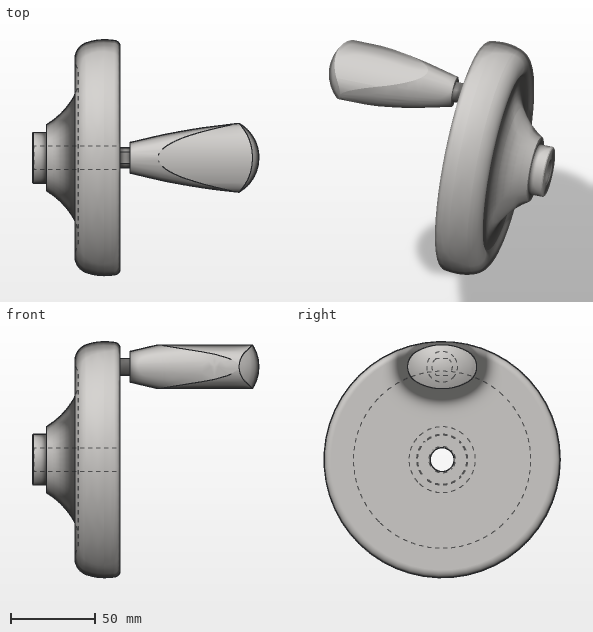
import cadquery as cq
import math


BORE_RADIUS = 7.0
BOSS_RADIUS = 15.1
BOSS_LENGTH = 8.3
BOSS_CHAMFER = 0.5
BORE_CHAMFER = 0.8
HUB_RADIUS = 19.6

FLARE_END_X = 23.4
FLARE_END_RADIUS = 34.3
FLARE_MID_X = 16.5
FLARE_MID_RADIUS = 25.9
DISH_FLOOR_X = 26.9
DISH_FLOOR_RADIUS = 43.1
DISH_END_X = 26.9
DISH_END_RADIUS = 52.5

WHEEL_RADIUS = 70.0
RIM_FRONT_X = 25.0
RIM_FRONT_RADIUS = 58.4
SHOULDER_X = 31.6
SHOULDER_RADIUS = 68.0
CROWN_X = 42.4
CROWN_EDGE_X = 48.0
CROWN_EDGE_RADIUS = 69.6
RIM_BACK_X = 52.0
BACK_ROUND = RIM_BACK_X - CROWN_EDGE_X
CROWN_FRONT_BULGE = 0.49
CROWN_BACK_BULGE = 0.1
BACK_ROUND_BULGE = BACK_ROUND * (1 - math.sqrt(0.5))

HANDLE_OFFSET = 55.0
NECK_DIAMETER = 12.0
NECK_ACROSS_FLATS = 10.1
GRIP_START_X = 57.7
GRIP_START_RADIUS = 9.1
GRIP_MID_X = 84.0
GRIP_MID_RADIUS = 15.0
GRIP_END_X = 122.3
GRIP_HALF_WIDTH = 20.5
DOME_TIP_X = 134.1
GRIP_HALF_HEIGHT = 13.0
BROAD_ARC_RADIUS = 30.5


def point_on_arc(start, end, bulge):
    """Point offset by bulge to the left of the middle of the chord from start to end."""
    run = end[0] - start[0]
    rise = end[1] - start[1]
    chord = math.hypot(run, rise)
    middle_x = (start[0] + end[0]) / 2 - bulge * rise / chord
    middle_y = (start[1] + end[1]) / 2 + bulge * run / chord
    return middle_x, middle_y


def revolve_about_x(profile):
    """Full turn of a closed (x, radius) profile about the X axis."""
    return profile.close().revolve(360, (0, 0, 0), (1, 0, 0))


def make_wheel():
    """Solid of revolution with a chamfered boss, flared hub, dish and rounded rim."""
    shoulder = (SHOULDER_X, SHOULDER_RADIUS)
    crown = (CROWN_X, WHEEL_RADIUS)
    crown_edge = (CROWN_EDGE_X, CROWN_EDGE_RADIUS)
    back_edge = (RIM_BACK_X, CROWN_EDGE_RADIUS - BACK_ROUND)
    profile = (
        cq.Workplane("XY")
        .moveTo(BORE_CHAMFER, BORE_RADIUS)
        .lineTo(0, BORE_RADIUS + BORE_CHAMFER)
        .lineTo(0, BOSS_RADIUS - BOSS_CHAMFER)
        .lineTo(BOSS_CHAMFER, BOSS_RADIUS)
        .lineTo(BOSS_LENGTH, BOSS_RADIUS)
        .lineTo(BOSS_LENGTH, HUB_RADIUS)
        .threePointArc((FLARE_MID_X, FLARE_MID_RADIUS), (FLARE_END_X, FLARE_END_RADIUS))
        .threePointArc((DISH_FLOOR_X, DISH_FLOOR_RADIUS), (DISH_END_X, DISH_END_RADIUS))
        .threePointArc((RIM_FRONT_X, RIM_FRONT_RADIUS), shoulder)
        .threePointArc(point_on_arc(shoulder, crown, CROWN_FRONT_BULGE), crown)
        .threePointArc(point_on_arc(crown, crown_edge, CROWN_BACK_BULGE), crown_edge)
        .threePointArc(point_on_arc(crown_edge, back_edge, BACK_ROUND_BULGE), back_edge)
        .lineTo(RIM_BACK_X, BORE_RADIUS)
    )
    return revolve_about_x(profile)


def make_grip():
    """Domed, flaring round grip trimmed to an oval section of four tangent arcs."""
    dome_height = DOME_TIP_X - GRIP_END_X
    dome_radius = (GRIP_HALF_WIDTH**2 + dome_height**2) / (2 * dome_height)
    dome_centre_x = DOME_TIP_X - dome_radius
    dome_mid_angle = math.atan2(GRIP_HALF_WIDTH, GRIP_END_X - dome_centre_x) / 2
    dome_mid_x = dome_centre_x + dome_radius * math.cos(dome_mid_angle)
    dome_mid_radius = dome_radius * math.sin(dome_mid_angle)
    flare = revolve_about_x(
        cq.Workplane("XY")
        .moveTo(GRIP_START_X, 0)
        .lineTo(GRIP_START_X, GRIP_START_RADIUS)
        .threePointArc((GRIP_MID_X, GRIP_MID_RADIUS), (GRIP_END_X, GRIP_HALF_WIDTH))
        .threePointArc((dome_mid_x, dome_mid_radius), (DOME_TIP_X, 0))
    )

    broad_centre_z = BROAD_ARC_RADIUS - GRIP_HALF_HEIGHT
    radius_gap = BROAD_ARC_RADIUS - GRIP_HALF_WIDTH
    side_centre_y = (broad_centre_z**2 - radius_gap**2) / (2 * radius_gap)
    side_radius = GRIP_HALF_WIDTH - side_centre_y
    tangent_angle = math.atan2(broad_centre_z, side_centre_y)
    tangent_y = side_centre_y + side_radius * math.cos(tangent_angle)
    tangent_z = side_radius * math.sin(tangent_angle)
    oval = (
        cq.Workplane("YZ", origin=(GRIP_START_X, 0, 0))
        .moveTo(-tangent_y, tangent_z)
        .threePointArc((0, GRIP_HALF_HEIGHT), (tangent_y, tangent_z))
        .threePointArc((GRIP_HALF_WIDTH, 0), (tangent_y, -tangent_z))
        .threePointArc((0, -GRIP_HALF_HEIGHT), (-tangent_y, -tangent_z))
        .threePointArc((-GRIP_HALF_WIDTH, 0), (-tangent_y, tangent_z))
        .close()
        .extrude(DOME_TIP_X - GRIP_START_X)
    )
    return flare.intersect(oval)


def make_handle():
    """Grip on a round neck with two flats, standing on the back face of the rim."""
    neck_length = GRIP_START_X - RIM_BACK_X
    rim_face = cq.Workplane("YZ", origin=(RIM_BACK_X, 0, 0))
    neck = rim_face.circle(NECK_DIAMETER / 2).extrude(neck_length)
    flats = rim_face.rect(NECK_DIAMETER, NECK_ACROSS_FLATS).extrude(neck_length)
    neck = neck.intersect(flats)
    return neck.union(make_grip()).translate((0, 0, HANDLE_OFFSET))


wheel = make_wheel()
handle = make_handle()

result = cq.Compound.makeCompound([wheel.val(), handle.val()])